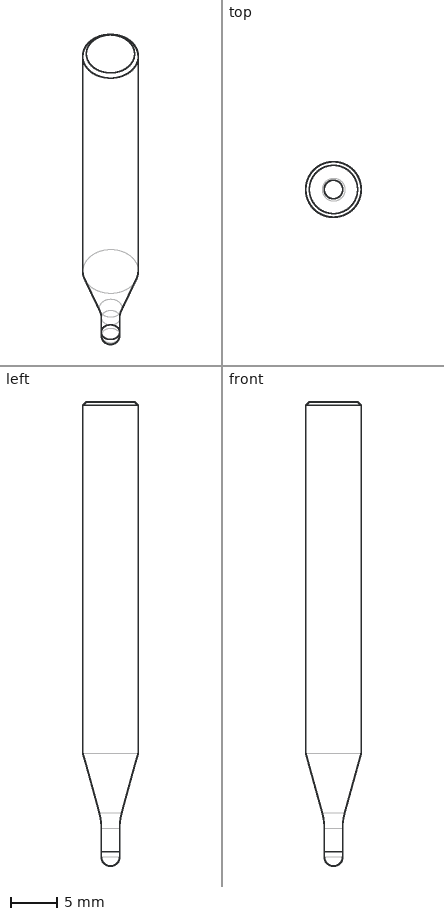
import cadquery as cq
import math

total_length = 50.0
shank_radius = 3.0
shank_chamfer = 0.4

ball_radius = 1.0
tip_length = 1.55

neck_radius = 1.0
neck_top = 4.1
blend_radius = 6.25
taper_angle = math.radians(15.5)


def blend_point(angle):
    """Point (radius, height) on the blend arc after turning by angle from the vertical neck."""
    radius = neck_radius + blend_radius * (1 - math.cos(angle))
    height = neck_top + blend_radius * math.sin(angle)
    return radius, height


def revolve_about_z(profile):
    """Turn a closed (radius, height) profile around the Z axis."""
    return profile.close().revolve(360, (0, 0, 0), (0, 1, 0))


def make_tip():
    """Ball-nosed cutting tip: a hemisphere with a short cylinder above it."""
    arc_middle = (
        ball_radius * math.sin(math.pi / 4),
        ball_radius * (1 - math.cos(math.pi / 4)),
    )
    profile = (
        cq.Workplane("XZ")
        .moveTo(0, 0)
        .threePointArc(arc_middle, (ball_radius, ball_radius))
        .lineTo(ball_radius, tip_length)
        .lineTo(0, tip_length)
    )
    return revolve_about_z(profile)


def make_shank():
    """Neck, concave blend, conical taper and chamfered cylindrical shank."""
    taper_start_radius, taper_start = blend_point(taper_angle)
    taper_end = taper_start + (shank_radius - taper_start_radius) / math.tan(taper_angle)
    profile = (
        cq.Workplane("XZ")
        .moveTo(0, tip_length)
        .lineTo(neck_radius, tip_length)
        .lineTo(neck_radius, neck_top)
        .threePointArc(blend_point(taper_angle / 2), (taper_start_radius, taper_start))
        .lineTo(shank_radius, taper_end)
        .lineTo(shank_radius, total_length - shank_chamfer)
        .lineTo(shank_radius - shank_chamfer, total_length)
        .lineTo(0, total_length)
    )
    return revolve_about_z(profile)


tip = make_tip()
shank = make_shank()

result = cq.Compound.makeCompound([tip.val(), shank.val()])